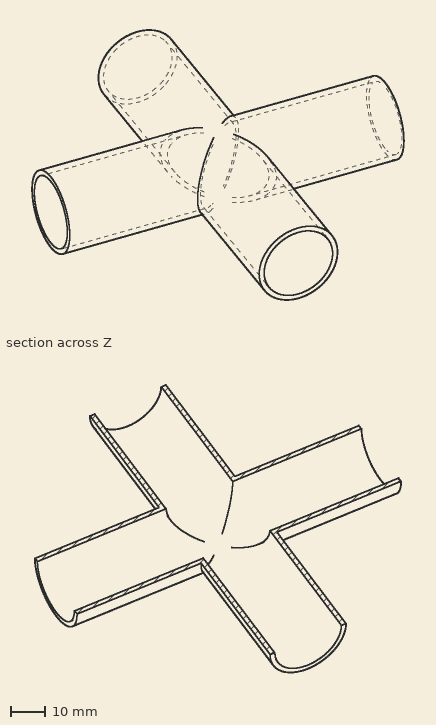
import cadquery as cq

arm_span = 108.0
outer_diameter = 25.4
bore_diameter = 22.1


def crossed_cylinders(diameter):
    """Two equal cylinders along X and Y, meeting at right angles at the origin."""
    radius = diameter / 2
    along_x = cq.Workplane("YZ").circle(radius).extrude(arm_span / 2, both=True)
    along_y = cq.Workplane("XZ").circle(radius).extrude(arm_span / 2, both=True)
    return along_x.union(along_y)


result = crossed_cylinders(outer_diameter).cut(crossed_cylinders(bore_diameter))